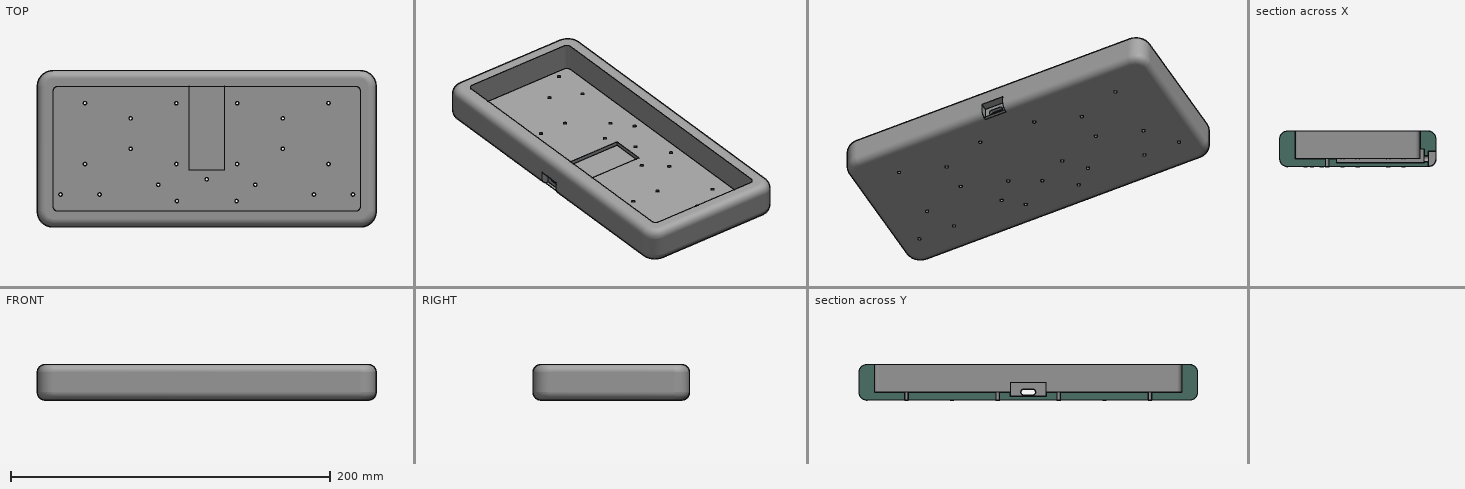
import cadquery as cq

LENGTH = 212.5
WIDTH = 98.2
HEIGHT = 22.5
WALL = 10.0
CORNER_RADIUS = WALL
EDGE_FILLET = 5.0

FLOOR = 5.0
CAVITY_CORNER_RADIUS = 3.0
CAVITY_LENGTH = LENGTH - 2 * WALL
CAVITY_WIDTH = WIDTH - 2 * WALL
CAVITY_BACK = CAVITY_WIDTH / 2

POCKET_WIDTH = 22.5
POCKET_FRONT = -13.2
POCKET_DEPTH = 2.5
POCKET_BOTTOM = FLOOR - POCKET_DEPTH
RECESS_INTO_WALL = 2.5
RECESS_ABOVE_FLOOR = 6.0
RECESS_BACK = CAVITY_BACK + RECESS_INTO_WALL

SLOT_LENGTH = 9.1
SLOT_HEIGHT = 3.6
SLOT_CENTER_Z = FLOOR

PLUG_CLEARANCE = 2.8
PLUG_RECESS_LENGTH = SLOT_LENGTH + 2 * PLUG_CLEARANCE
PLUG_RECESS_HEIGHT = SLOT_HEIGHT + 2 * PLUG_CLEARANCE
SLOT_WALL = 2.5
PLUG_RECESS_FRONT = RECESS_BACK + SLOT_WALL

HOLE_DIAMETER = 2.0
GRID_REACH = 76.3
PITCH = GRID_REACH / 4
END_HOLE_OUTER_X = 91.5
END_HOLE_INNER_X = 67.2
SIDE_HOLE_X = 30.4
SIDE_HOLE_Y = -22.5
FRONT_HOLE_X = 18.7
FRONT_HOLE_Y = -32.7

MIRRORED_HOLES = [
    (GRID_REACH, 1.5 * PITCH),
    (PITCH, 1.5 * PITCH),
    (GRID_REACH, -0.5 * PITCH),
    (PITCH, -0.5 * PITCH),
    (2.5 * PITCH, PITCH),
    (2.5 * PITCH, 0),
    (END_HOLE_OUTER_X, -1.5 * PITCH),
    (END_HOLE_INNER_X, -1.5 * PITCH),
    (SIDE_HOLE_X, SIDE_HOLE_Y),
    (FRONT_HOLE_X, FRONT_HOLE_Y),
]
CENTER_HOLE = (0, -PITCH)


def rounded_block():
    """Solid body with rounded corners and rounded top and bottom rims."""
    block = cq.Workplane("XY").box(LENGTH, WIDTH, HEIGHT, centered=(True, True, False))
    return block.edges("|Z").fillet(CORNER_RADIUS).faces("<Z or >Z").edges().fillet(EDGE_FILLET)


def cavity():
    """Open-topped cavity above the floor."""
    space = cq.Workplane("XY").workplane(offset=FLOOR)
    space = space.rect(CAVITY_LENGTH, CAVITY_WIDTH).extrude(HEIGHT - FLOOR)
    return space.edges("|Z").fillet(CAVITY_CORNER_RADIUS)


def connector_pocket():
    """Shallow floor pocket that runs on into the back wall."""
    pocket_length = RECESS_BACK - POCKET_FRONT
    pocket_height = POCKET_DEPTH + RECESS_ABOVE_FLOOR
    pocket = cq.Workplane("XY").box(POCKET_WIDTH, pocket_length, pocket_height, centered=(True, False, False))
    return pocket.translate((0, POCKET_FRONT, POCKET_BOTTOM))


def connector_slot():
    """Slot from the back of the pocket out through the back wall."""
    slot = cq.Workplane("XZ", origin=(0, WIDTH / 2, SLOT_CENTER_Z))
    return slot.slot2D(SLOT_LENGTH, SLOT_HEIGHT).extrude(WIDTH / 2 - CAVITY_BACK)


def plug_recess():
    """Rectangular clearance for a plug, open at the outer back face."""
    recess = cq.Workplane("XZ", origin=(0, WIDTH / 2, SLOT_CENTER_Z))
    return recess.rect(PLUG_RECESS_LENGTH, PLUG_RECESS_HEIGHT).extrude(WIDTH / 2 - PLUG_RECESS_FRONT)


def floor_holes():
    """Small round holes through the floor."""
    mirrored = [(-x, y) for x, y in MIRRORED_HOLES]
    points = MIRRORED_HOLES + mirrored + [CENTER_HOLE]
    return cq.Workplane("XY").pushPoints(points).circle(HOLE_DIAMETER / 2).extrude(FLOOR)


result = (
    rounded_block()
    .cut(cavity())
    .cut(connector_pocket())
    .cut(connector_slot())
    .cut(plug_recess())
    .cut(floor_holes())
)